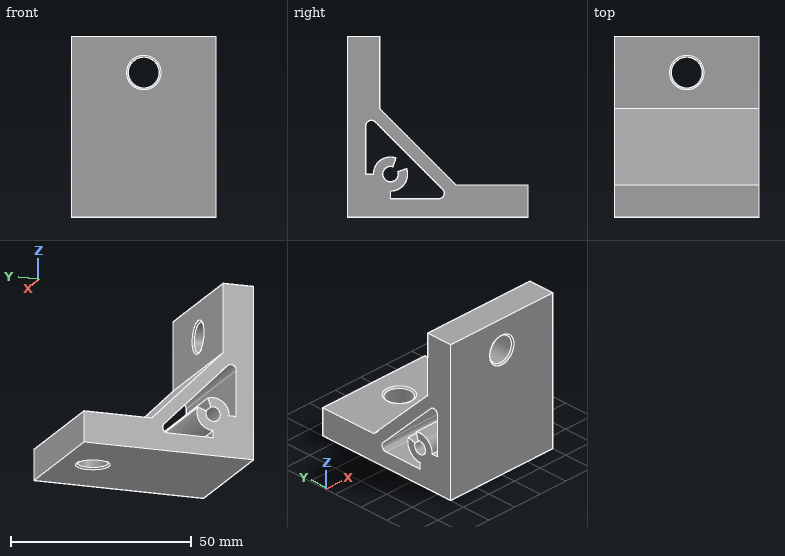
import cadquery as cq
import math

width = 40.0
leg_length = 50.0
plate_thickness = 9.0
gusset_reach = 30.0

web_thickness = 3.5
pocket_wall = 5.15
pocket_corner_radius = 1.5

ring_center = 11.95
ring_outer_radius = 4.75
ring_bore_radius = 2.1
ring_gap_angle = 52.0

hole_diameter = 8.5
hole_chamfer = 0.5
hole_position = 40.0


def extrude_profile(sketch):
    """Extrude a closed YZ profile over the full width, centred on X = 0."""
    return sketch.extrude(width / 2, both=True)


def make_body():
    profile = cq.Workplane("YZ").polyline([
        (0, 0),
        (leg_length, 0),
        (leg_length, plate_thickness),
        (gusset_reach, plate_thickness),
        (plate_thickness, gusset_reach),
        (plate_thickness, leg_length),
        (0, leg_length),
    ]).close()
    return extrude_profile(profile)


def make_pocket():
    outer_slope_sum = gusset_reach + plate_thickness
    inner_slope_sum = outer_slope_sum - web_thickness * math.sqrt(2)
    pocket_tip = inner_slope_sum - pocket_wall
    profile = cq.Workplane("YZ").polyline([
        (pocket_wall, pocket_wall),
        (pocket_tip, pocket_wall),
        (pocket_wall, pocket_tip),
    ]).close()
    triangle = extrude_profile(profile)
    tips = triangle.edges("|X").edges(">Y or >Z")
    return tips.fillet(pocket_corner_radius)


def make_ring_support():
    block = extrude_profile(cq.Workplane("YZ").rect(ring_center, ring_center, centered=False))
    ring_plane = cq.Workplane("YZ").center(ring_center, ring_center)
    return block.union(extrude_profile(ring_plane.circle(ring_outer_radius)))


def make_ring_opening():
    ring_plane = cq.Workplane("YZ").center(ring_center, ring_center)
    bore = extrude_profile(ring_plane.circle(ring_bore_radius))

    wedge_length = 1.5 * ring_outer_radius
    start_angle = math.radians(45 - ring_gap_angle / 2)
    end_angle = math.radians(45 + ring_gap_angle / 2)
    wedge = extrude_profile(ring_plane.polyline([
        (0, 0),
        (wedge_length * math.cos(start_angle), wedge_length * math.sin(start_angle)),
        (wedge_length * math.cos(end_angle), wedge_length * math.sin(end_angle)),
    ]).close())
    return bore.union(wedge)


def make_hole_cutter():
    """Return a vertical hole through a plate lying on Z = 0."""
    radius = hole_diameter / 2
    mouth_radius = radius + hole_chamfer
    half_section = cq.Workplane("XZ").polyline([
        (0, 0),
        (mouth_radius, 0),
        (radius, hole_chamfer),
        (radius, plate_thickness - hole_chamfer),
        (mouth_radius, plate_thickness),
        (0, plate_thickness),
    ]).close()
    return half_section.revolve(360, (0, 0), (0, 1))


base_hole = make_hole_cutter().translate((0, hole_position, 0))
wall_hole = make_hole_cutter().rotate((0, 0, 0), (1, 0, 0), -90).translate((0, 0, hole_position))

pocket_space = make_pocket().cut(make_ring_support())
result = (
    make_body()
    .cut(pocket_space)
    .cut(make_ring_opening())
    .cut(base_hole)
    .cut(wall_hole)
)